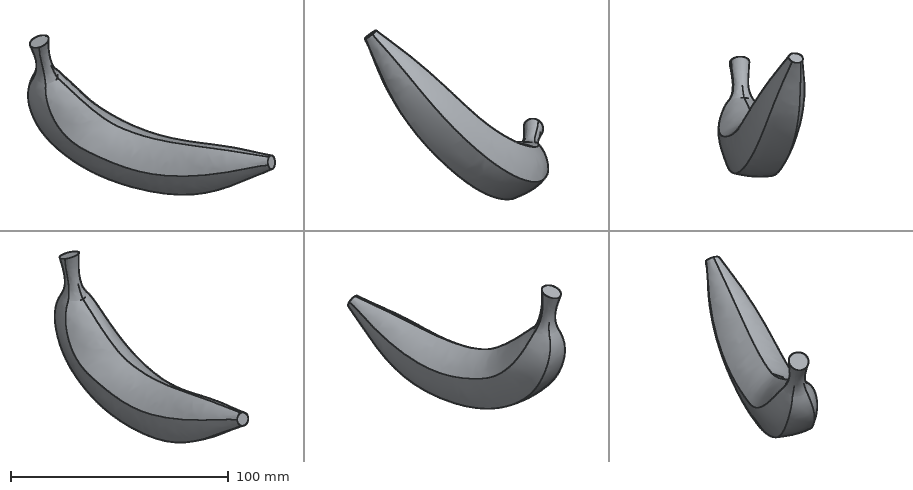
import cadquery as cq
import math


ROUND_ARCH = math.tan(math.radians(18)) / 2
SOFT_ARCH = 0.09
BODY_ARCH = 0.05

STEM_END = ((0.0, 66.8), (8.6, 70.0), 0.69, 4.3, 2.6, ROUND_ARCH)
NECK = ((2.3, 48.5), (13.4, 48.5), 0.67, 5.9, 3.6, SOFT_ARCH)
BLOSSOM_END = ((120.0, 28.3), (117.4, 34.0), 0.64, 3.2, 2.0, ROUND_ARCH)

STEM_STATIONS = [
    STEM_END,
    ((2.2, 60.7), (8.9, 61.8), 0.65, 3.7, 2.3, ROUND_ARCH),
    ((3.1, 55.2), (10.2, 55.5), 0.64, 3.6, 2.3, ROUND_ARCH),
    NECK,
]

BODY_STATIONS = [
    NECK,
    ((0.0, 39.6), (18.0, 44.7), 0.64, 9.2, 5.8, SOFT_ARCH),
    ((2.0, 29.1), (26.0, 37.9), 0.59, 12.2, 7.2, SOFT_ARCH),
    ((9.7, 17.4), (34.8, 31.8), 0.59, 13.9, 7.9, BODY_ARCH),
    ((26.4, 5.6), (43.2, 28.2), 0.64, 13.7, 8.4, BODY_ARCH),
    ((56.4, 0.0), (58.8, 26.4), 0.63, 13.2, 8.4, BODY_ARCH),
    ((82.8, 4.7), (75.6, 27.8), 0.63, 12.1, 7.8, BODY_ARCH),
    ((104.0, 16.3), (94.8, 31.0), 0.61, 8.8, 5.5, SOFT_ARCH),
    ((113.0, 23.3), (107.0, 32.6), 0.62, 5.8, 3.6, SOFT_ARCH),
    BLOSSOM_END,
]


def section_wire(outer, inner, flank_position, flank_half_width, outer_half_width, arch):
    """Return the closed five-arc outline of one station."""
    depth = math.dist(outer, inner)
    inward_x = (inner[0] - outer[0]) / depth
    inward_z = (inner[1] - outer[1]) / depth
    outer_ridge_height = 2 * outer_half_width * arch
    flank_height = flank_position * depth
    ridges = [
        (0, depth),
        (flank_half_width, flank_height),
        (outer_half_width, outer_ridge_height),
        (-outer_half_width, outer_ridge_height),
        (-flank_half_width, flank_height),
    ]

    def in_space(point):
        across, height = point
        return cq.Vector(outer[0] + inward_x * height, across, outer[1] + inward_z * height)

    sides = []
    for start, end in zip(ridges, ridges[1:] + ridges[:1]):
        crown = (
            (start[0] + end[0]) / 2 - arch * (end[1] - start[1]),
            (start[1] + end[1]) / 2 + arch * (end[0] - start[0]),
        )
        sides.append(cq.Edge.makeThreePointArc(in_space(start), in_space(crown), in_space(end)))
    return cq.Wire.assembleEdges(sides)


def loft_through(stations):
    """Return a smooth solid through the given stations."""
    return cq.Solid.makeLoft([section_wire(*station) for station in stations])


stem = cq.Workplane(obj=loft_through(STEM_STATIONS))
body = cq.Workplane(obj=loft_through(BODY_STATIONS))
result = body.union(stem)